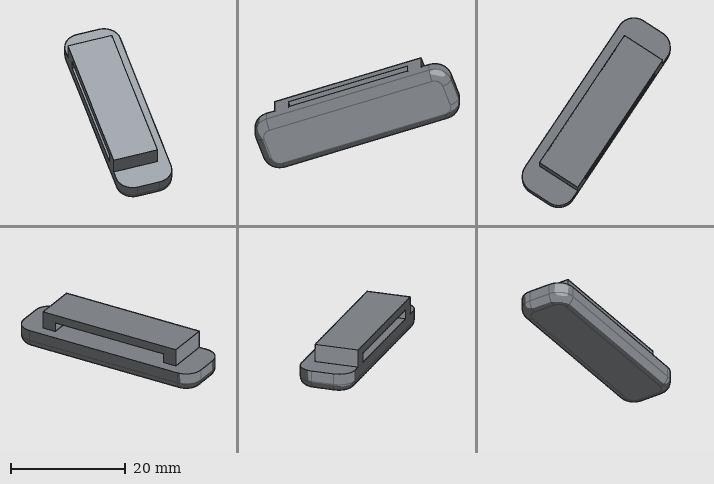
import cadquery as cq

length = 36.0
width = 10.0
base_height = 3.5
corner_radius = 3.0
bottom_radius = 1.5

total_height = 6.7
loop_length = 27.0
loop_depth = 8.0
loop_height = total_height - base_height

slot_length = 22.0
loop_roof = 1.5
slot_height = loop_height - loop_roof


def make_base():
    """Rounded plate with a rounded bottom edge."""
    plate = cq.Workplane("XY").box(length, width, base_height, centered=(True, True, False))
    return plate.edges("|Z").fillet(corner_radius).faces("<Z").edges().fillet(bottom_radius)


def block_on_base(block_length, block_height):
    """Block standing on the plate, running back from its -Y side."""
    return (
        cq.Workplane("XY")
        .box(block_length, loop_depth, block_height, centered=(True, False, False))
        .translate((0, -width / 2, base_height))
    )


loop = block_on_base(loop_length, loop_height).cut(block_on_base(slot_length, slot_height))
result = make_base().union(loop)